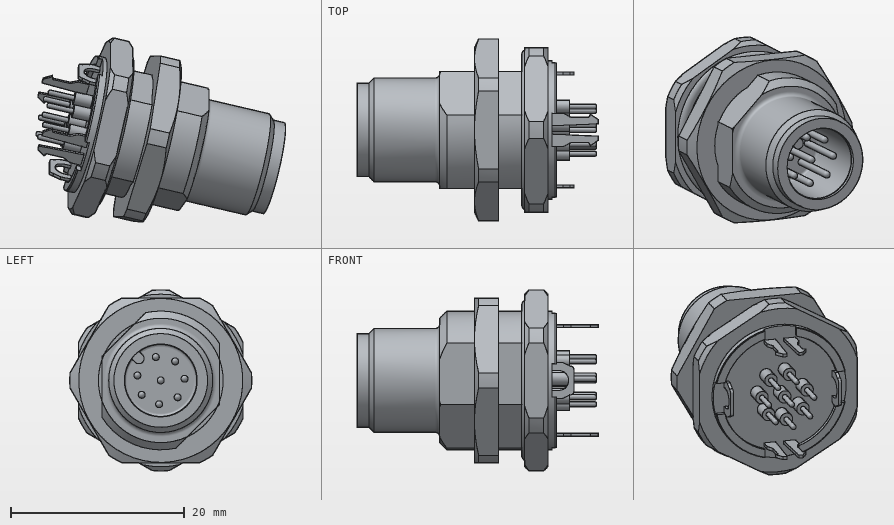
import cadquery as cq
import math


nose_tip_d = 10.8
nose_tip_length = 1.35
nose_d = 12.0
nose_chamfer = (nose_d - nose_tip_d) / 2
shoulder_x = 9.5
shoulder_fillet = 0.5

barrel_d = 16.0
barrel_chamfer = 0.83
barrel_flats = 13.5
flat_pair_angles = (0, 45)
barrel_end_x = 22.48

mouth_d = 8.4
mouth_depth = 0.5
socket_d = 8.3
socket_floor_fillet = 0.3
socket_floor_x = shoulder_x

key_angle = 45
key_radius = 0.6
key_start_x = mouth_depth
key_center_r = 3.57

pin_circle_r = 2.75
pin_count_on_circle = 7
pin_step = 49
front_pin_d = 0.8
front_pin_x = 2.05
front_pin_dome_r = 0.39
collar_d = 1.5
collar_end_x = 24.5
tail_d = 0.6
tail_end_x = 27.6
tail_tip_fillet = 0.24

hex_across_flats = 19.0
flange_x = 19.3
flange_thickness = 2.7
flange_corner_d = 20.89
flange_chamfer = 0.5

seal_inner_r = 8.02
seal_outer_r = 9.22
seal_front_x = 18.95

rim_d = barrel_d
rim_lip_d = 15.9
rim_lip_x = 22.82
rim_end_x = 23.0
rim_inner_d = 14.0
notch_width = 3.8

clip_thickness = 0.36
clip_root_depth = 0.5
loop_clip_y = 6.5
loop_root_half_width = notch_width / 2
loop_bulge_half_width = 2.07
loop_bulge_start_x = 23.05
loop_bulge_end_x = 23.7
loop_corner_start = (24.55, 1.66)
loop_corner_mid = (24.87, 1.53)
loop_end_x = 25.0
loop_end_half_width = 1.25
loop_hole_r = 1.15
loop_hole_center_x = 23.22
prong_clip_z = 6.26
prong_root_inner_y = 0.47
prong_root_outer_y = notch_width / 2
prong_taper_start_x = 23.8
prong_taper_end_x = 24.65
prong_neck_outer_y = 1.47
barb_fillet_start_x = 26.6
barb_fillet_mid = (26.74, 1.52)
barb_fillet_end = (26.8, 1.65)
barb_tip = (26.87, 1.82)
prong_end_x = 27.8
prong_end_outer_y = 1.2
prong_end_inner_y = 0.7

nut_x = 13.5
nut_thickness = 2.8
nut_corner_d = 21.0
nut_chamfer_length = 0.5
nut_face_d = 18.9
nut_bore_d = 14.38


def disc(diameter, start_x, end_x, y=0, z=0):
    """Cylinder along X."""
    return (
        cq.Workplane("YZ", origin=(start_x, y, z))
        .circle(diameter / 2)
        .extrude(end_x - start_x)
    )


def revolved(profile):
    """Turn a profile drawn as (x, radius) about the X axis."""
    return profile.close().revolve(360, (0, 0, 0), (1, 0, 0))


def hexagon(start_x, thickness, first_flat_angle):
    """Hexagonal prism along X; the angle turns one flat's normal from +Z."""
    corner_to_corner = hex_across_flats / math.cos(math.pi / 6)
    return (
        cq.Workplane("YZ", origin=(start_x, 0, 0))
        .polygon(6, corner_to_corner)
        .extrude(thickness)
        .rotate((0, 0, 0), (1, 0, 0), first_flat_angle)
    )


def pin_positions():
    """(y, z) of every contact, symmetric about the key direction."""
    first_angle = key_angle + 180 - pin_step * (pin_count_on_circle - 1) / 2
    positions = [(0, 0)]
    for index in range(pin_count_on_circle):
        angle = math.radians(first_angle + index * pin_step)
        positions.append((pin_circle_r * math.cos(angle), pin_circle_r * math.sin(angle)))
    return positions


def make_barrel():
    """Nose and threaded barrel, turned and then milled with the wrench flats."""
    nose_r = nose_d / 2
    barrel_r = barrel_d / 2
    arc_mid = shoulder_fillet * math.sqrt(0.5)
    fillet_center_x = shoulder_x - shoulder_fillet
    fillet_center_r = nose_r + shoulder_fillet
    turned = revolved(
        cq.Workplane("XY")
        .lineTo(0, nose_tip_d / 2)
        .lineTo(nose_tip_length, nose_tip_d / 2)
        .lineTo(nose_tip_length + nose_chamfer, nose_r)
        .lineTo(fillet_center_x, nose_r)
        .threePointArc(
            (fillet_center_x + arc_mid, fillet_center_r - arc_mid),
            (shoulder_x, fillet_center_r),
        )
        .lineTo(shoulder_x, barrel_r - barrel_chamfer)
        .lineTo(shoulder_x + barrel_chamfer, barrel_r)
        .lineTo(flange_x, barrel_r)
        .lineTo(flange_x, 0)
    )
    for angle in flat_pair_angles:
        between_flats = (
            cq.Workplane("XY")
            .box(flange_x, barrel_flats, 2 * barrel_d, centered=(False, True, True))
            .rotate((0, 0, 0), (1, 0, 0), angle)
        )
        turned = turned.intersect(between_flats)
    return turned.union(disc(barrel_d, flange_x, barrel_end_x))


def make_flange():
    """Hexagon with corners at top and bottom, rounded and chamfered on both faces."""
    corner_limit = disc(flange_corner_d, flange_x, flange_x + flange_thickness)
    corner_limit = corner_limit.faces("<X or >X").chamfer(flange_chamfer)
    return hexagon(flange_x, flange_thickness, 90).intersect(corner_limit)


def make_seal():
    """Rounded bead of the sealing ring, standing proud of the flange."""
    crest_r = (seal_inner_r + seal_outer_r) / 2
    return revolved(
        cq.Workplane("XY")
        .moveTo(flange_x, seal_inner_r)
        .threePointArc((seal_front_x, crest_r), (flange_x, seal_outer_r))
    )


def make_rim():
    """Thin rear rim with a fine lip, notched on the Y and Z axes."""
    rim = disc(rim_d, barrel_end_x, rim_lip_x)
    rim = rim.union(disc(rim_lip_d, rim_lip_x, rim_end_x))
    rim = rim.cut(disc(rim_inner_d, barrel_end_x, rim_end_x))
    for notch_size in ((barrel_d, notch_width), (notch_width, barrel_d)):
        notch = (
            cq.Workplane("YZ", origin=(barrel_end_x, 0, 0))
            .rect(*notch_size)
            .extrude(rim_end_x - barrel_end_x)
        )
        rim = rim.cut(notch)
    return rim


def make_socket():
    """Space to remove from the nose: a short mouth, the bore, and the key left standing."""
    mouth = disc(mouth_d, 0, mouth_depth)
    bore = disc(socket_d, mouth_depth, socket_floor_x).faces(">X").edges().fillet(socket_floor_fillet)
    key = (
        cq.Workplane("YZ", origin=(key_start_x, 0, 0))
        .moveTo(mouth_d / 2, key_radius)
        .lineTo(key_center_r, key_radius)
        .threePointArc((key_center_r - key_radius, 0), (key_center_r, -key_radius))
        .lineTo(mouth_d / 2, -key_radius)
        .close()
        .extrude(socket_floor_x - key_start_x)
        .rotate((0, 0, 0), (1, 0, 0), key_angle)
    )
    return mouth.union(bore.cut(key))


def make_contact(y, z):
    """One contact: domed front pin, and at the rear a collar and a thin solder tail."""
    front = disc(front_pin_d, front_pin_x, socket_floor_x, y, z)
    front = front.faces("<X").edges().fillet(front_pin_dome_r)
    collar = disc(collar_d, barrel_end_x, collar_end_x, y, z)
    tail = disc(tail_d, collar_end_x, tail_end_x, y, z).faces(">X").edges().fillet(tail_tip_fillet)
    return front, collar.union(tail)


def make_loop_clip(side):
    """Clip bent into a loop, standing on the +Y or -Y side."""
    root_x = barrel_end_x - clip_root_depth
    half_outline = (
        cq.Workplane("XZ", origin=(0, side * loop_clip_y, 0))
        .moveTo(root_x, 0)
        .lineTo(root_x, loop_root_half_width)
        .lineTo(barrel_end_x, loop_root_half_width)
        .lineTo(loop_bulge_start_x, loop_bulge_half_width)
        .lineTo(loop_bulge_end_x, loop_bulge_half_width)
        .lineTo(*loop_corner_start)
        .threePointArc(loop_corner_mid, (loop_end_x, loop_end_half_width))
        .lineTo(loop_end_x, 0)
        .close()
        .extrude(clip_thickness / 2, both=True)
    )
    outline = half_outline.union(half_outline.mirror("XY"))
    hole = (
        cq.Workplane("XZ", origin=(0, side * loop_clip_y, 0))
        .moveTo(barrel_end_x, loop_hole_r)
        .lineTo(loop_hole_center_x, loop_hole_r)
        .threePointArc(
            (loop_hole_center_x + loop_hole_r, 0),
            (loop_hole_center_x, -loop_hole_r),
        )
        .lineTo(barrel_end_x, -loop_hole_r)
        .close()
        .extrude(clip_thickness, both=True)
    )
    return outline.cut(hole)


def make_prong_clip(side):
    """Pair of barbed prongs, standing on the +Z or -Z side."""
    root_x = barrel_end_x - clip_root_depth
    prong = (
        cq.Workplane("XY", origin=(0, 0, side * prong_clip_z))
        .moveTo(root_x, prong_root_inner_y)
        .lineTo(root_x, prong_root_outer_y)
        .lineTo(prong_taper_start_x, prong_root_outer_y)
        .lineTo(prong_taper_end_x, prong_neck_outer_y)
        .lineTo(barb_fillet_start_x, prong_neck_outer_y)
        .threePointArc(barb_fillet_mid, barb_fillet_end)
        .lineTo(*barb_tip)
        .lineTo(prong_end_x, prong_end_outer_y)
        .lineTo(prong_end_x, prong_end_inner_y)
        .close()
        .extrude(clip_thickness / 2, both=True)
    )
    return prong.union(prong.mirror("XZ"))


def make_housing():
    """The whole connector apart from the nut."""
    body = make_barrel().union(make_flange()).union(make_seal()).union(make_rim())
    body = body.cut(make_socket())
    for y, z in pin_positions():
        front, rear = make_contact(y, z)
        body = body.union(front).union(rear)
    for side in (-1, 1):
        body = body.union(make_loop_clip(side)).union(make_prong_clip(side))
    return body


def make_nut(housing_body):
    """Hexagon nut with flats at top and bottom, chamfered on its front face only."""
    chamfer_end_x = nut_x + nut_chamfer_length
    nut_end_x = nut_x + nut_thickness
    corner_limit = revolved(
        cq.Workplane("XY")
        .moveTo(nut_x, 0)
        .lineTo(nut_x, nut_face_d / 2)
        .lineTo(chamfer_end_x, nut_corner_d / 2)
        .lineTo(nut_end_x, nut_corner_d / 2)
        .lineTo(nut_end_x, 0)
    )
    nut_blank = hexagon(nut_x, nut_thickness, 0).intersect(corner_limit)
    bored = nut_blank.cut(disc(nut_bore_d, nut_x, nut_end_x))
    return bored.cut(housing_body)


housing = make_housing()
nut = make_nut(housing)
result = cq.Compound.makeCompound([*housing.solids().vals(), *nut.solids().vals()])